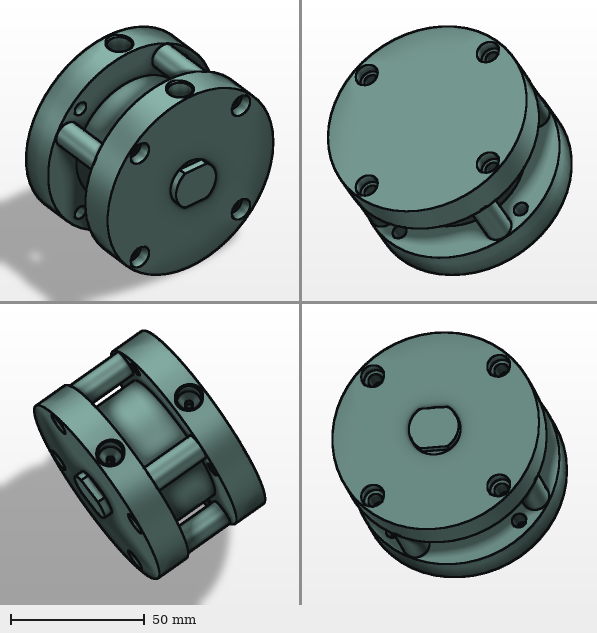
import cadquery as cq
import math


plate_diameter = 79.25
plate_radius = plate_diameter / 2
plate_thickness = 13.4
plate_gap = 22.4
body_length = 2 * plate_thickness + plate_gap
seat_floor = 7.1

barrel_diameter = 52.3
rod_diameter = 19.1
rod_flats_width = 15.9
rod_projection = 3.3

pitch_radius = 34.15
station_count = 4
post_diameter = 10.3
post_start_angle = 63.4
screw_start_angle = 45.0
screw_hole_diameter = 5.5
counterbore_diameter = 8.7
counterbore_depth = 5.0

port_offset = 6.35
port_diameter = 9.35
port_mouth_diameter = 10.85
port_depth = 7.9
passage_diameter = 3.1
passage_depth = 14.3
drill_point_angle = 118.0


def stations(start_angle):
    """Return the (Y, Z) points spaced evenly round the pitch circle."""
    angles = [math.radians(start_angle + i * 360 / station_count) for i in range(station_count)]
    return [(pitch_radius * math.cos(a), pitch_radius * math.sin(a)) for a in angles]


def bar_along_x(diameter, start, end, points=((0, 0),)):
    """Make round bars along X between two X positions, centred on the given (Y, Z) points."""
    return cq.Workplane("YZ", origin=(start, 0, 0)).pushPoints(points).circle(diameter / 2).extrude(end - start)


def make_port():
    """Revolve the space of one port: 45-degree mouth, port bore and passage, both with drill points."""
    port_radius = port_diameter / 2
    mouth_radius = port_mouth_diameter / 2
    passage_radius = passage_diameter / 2
    point_slope = 1 / math.tan(math.radians(drill_point_angle / 2))
    port_floor = plate_radius - port_depth
    passage_floor = plate_radius - passage_depth
    profile = [
        (0, plate_radius),
        (mouth_radius, plate_radius),
        (port_radius, plate_radius - (mouth_radius - port_radius)),
        (port_radius, port_floor),
        (passage_radius, port_floor - (port_radius - passage_radius) * point_slope),
        (passage_radius, passage_floor),
        (0, passage_floor - passage_radius * point_slope),
    ]
    space = cq.Workplane("XZ").polyline(profile).close().revolve(360, (0, 0, 0), (0, 1, 0))
    return space.translate((port_offset, 0, 0))


def make_rear_plate():
    """Make the rear end plate with its outer face at X = 0."""
    screw_points = stations(screw_start_angle)
    plate = bar_along_x(plate_diameter, 0, plate_thickness)
    plate = plate.cut(bar_along_x(barrel_diameter, seat_floor, plate_thickness))
    plate = plate.cut(bar_along_x(screw_hole_diameter, 0, plate_thickness, screw_points))
    plate = plate.cut(bar_along_x(counterbore_diameter, 0, counterbore_depth, screw_points))
    return plate.cut(make_port())


def make_front_plate():
    """Mirror the rear plate to the other end and bore it for the piston rod."""
    plate = make_rear_plate().mirror("YZ").translate((body_length, 0, 0))
    return plate.cut(bar_along_x(rod_diameter, body_length - seat_floor, body_length))


def make_barrel():
    """Make the barrel, seated in the recess of each plate."""
    return bar_along_x(barrel_diameter, seat_floor, body_length - seat_floor)


def make_piston_rod():
    """Make the rod from the barrel's end, with two flats on the part outside the front plate."""
    tip = body_length + rod_projection
    rod = bar_along_x(rod_diameter, body_length - seat_floor, body_length)
    tip_middle = body_length + rod_projection / 2
    flats = cq.Workplane("XY", origin=(tip_middle, 0, 0)).box(rod_projection, rod_diameter, rod_flats_width)
    return rod.union(bar_along_x(rod_diameter, body_length, tip).intersect(flats))


def make_post(point):
    """Make one spacer post between the inner faces of the plates."""
    return bar_along_x(post_diameter, plate_thickness, body_length - plate_thickness, [point])


rear_plate = make_rear_plate()
front_plate = make_front_plate()
barrel = make_barrel()
piston_rod = make_piston_rod()
posts = [make_post(point) for point in stations(post_start_angle)]

result = cq.Compound.makeCompound([
    rear_plate.val(),
    front_plate.val(),
    barrel.val(),
    piston_rod.val(),
    *[post.val() for post in posts],
])